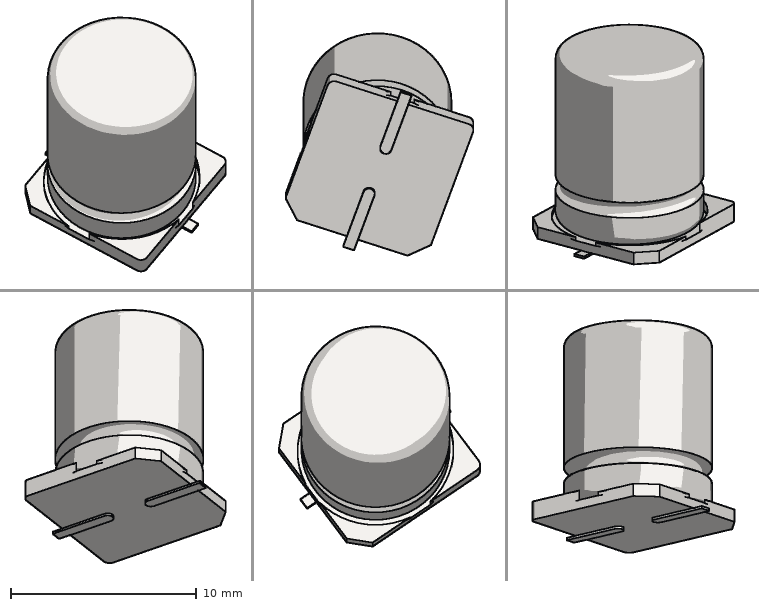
import cadquery as cq
import math

TOTAL_HEIGHT = 10.51

LEAD_SPAN = 9.5
LEAD_GAP = 2.17
LEAD_WIDTH = 0.63
LEAD_THICKNESS = 0.14

BASE_SIDE = 8.3
BASE_CHAMFER = 1.0
BASE_CORNER_RADIUS = 0.38
BASE_LOW_TOP = 0.83
BASE_HIGH_TOP = 1.17
POCKET_RADIUS = 4.2
POCKET_FLOOR = 0.63

CAN_RADIUS = 4.0
CAN_EDGE_RADIUS = 0.55
GROOVE_RADIUS = 0.44
GROOVE_CENTRE_Z = 2.8


def make_base():
    """Square base in two heights, stepped at X = 0, with a round pocket for the can."""
    base = (
        cq.Workplane("XY")
        .workplane(offset=LEAD_THICKNESS)
        .rect(BASE_SIDE, BASE_SIDE)
        .extrude(BASE_HIGH_TOP - LEAD_THICKNESS)
        .edges("|Z and <X").chamfer(BASE_CHAMFER)
        .edges("|Z and >X").fillet(BASE_CORNER_RADIUS)
    )
    step = (
        cq.Workplane("XY")
        .workplane(offset=BASE_LOW_TOP)
        .center(-BASE_SIDE / 2, 0)
        .rect(BASE_SIDE, BASE_SIDE)
        .extrude(BASE_HIGH_TOP - BASE_LOW_TOP)
    )
    pocket = (
        cq.Workplane("XY")
        .workplane(offset=POCKET_FLOOR)
        .circle(POCKET_RADIUS)
        .extrude(BASE_HIGH_TOP - POCKET_FLOOR)
    )
    return base.cut(step).cut(pocket)


def make_can():
    """Can with rounded rims, revolved from its half section, with a half-round crimp groove."""
    rim_radius = CAN_RADIUS - CAN_EDGE_RADIUS
    rim_offset = CAN_EDGE_RADIUS * (1 - math.sqrt(0.5))
    rim_mid_radius = CAN_RADIUS - rim_offset
    half_section = (
        cq.Workplane("XZ")
        .moveTo(0, POCKET_FLOOR)
        .lineTo(rim_radius, POCKET_FLOOR)
        .threePointArc(
            (rim_mid_radius, POCKET_FLOOR + rim_offset),
            (CAN_RADIUS, POCKET_FLOOR + CAN_EDGE_RADIUS),
        )
        .lineTo(CAN_RADIUS, GROOVE_CENTRE_Z - GROOVE_RADIUS)
        .threePointArc(
            (CAN_RADIUS - GROOVE_RADIUS, GROOVE_CENTRE_Z),
            (CAN_RADIUS, GROOVE_CENTRE_Z + GROOVE_RADIUS),
        )
        .lineTo(CAN_RADIUS, TOTAL_HEIGHT - CAN_EDGE_RADIUS)
        .threePointArc(
            (rim_mid_radius, TOTAL_HEIGHT - rim_offset),
            (rim_radius, TOTAL_HEIGHT),
        )
        .lineTo(0, TOTAL_HEIGHT)
        .close()
    )
    return half_section.revolve(360, (0, 0, 0), (0, 1, 0))


def make_lead(side):
    """Flat lead under the base on one side (-1 or +1), its inner end a half circle."""
    tip_x = side * LEAD_SPAN / 2
    inner_x = side * LEAD_GAP / 2
    round_start_x = inner_x + side * LEAD_WIDTH / 2
    half_width = LEAD_WIDTH / 2
    return (
        cq.Workplane("XY")
        .moveTo(tip_x, -half_width)
        .lineTo(round_start_x, -half_width)
        .threePointArc((inner_x, 0), (round_start_x, half_width))
        .lineTo(tip_x, half_width)
        .close()
        .extrude(LEAD_THICKNESS)
    )


result = make_base().union(make_can())
for side in (-1, 1):
    result = result.union(make_lead(side))